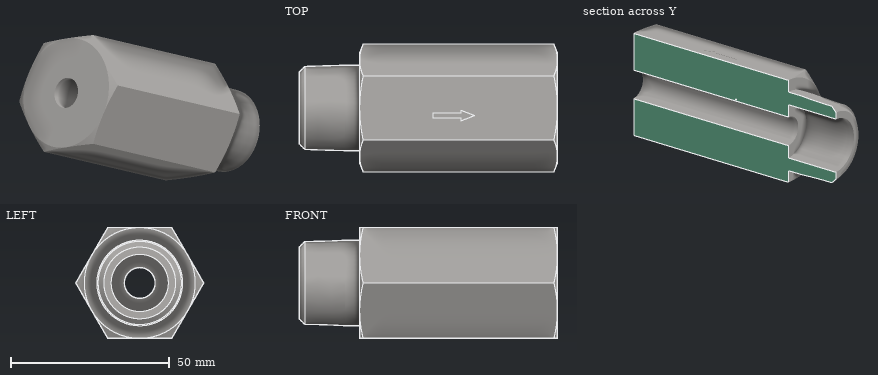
import cadquery as cq
import math

total_length = 81.28
across_flats = 34.925
shank_length = 19.05
across_corners = across_flats / math.cos(math.pi / 6)

collar_diameter = 27.0
collar_length = 4.6
taper_ratio = 1 / 16
tip_diameter = 22.6
tip_chamfer_length = 1.8

corner_chamfer_length = 1.1
chamfer_circle_diameter = across_flats

port_diameter = 18.0
port_depth = shank_length
bore_diameter = 9.6

arrow_tail_x = 42.1
arrow_length = 13.1
arrow_head_length = 4.2
arrow_head_width = 3.3
arrow_shaft_width = 1.6
arrow_center_y = -2.4
arrow_depth = 0.1


def revolve_about_x(profile):
    """Solid of revolution about X from (x, radius) points."""
    return cq.Workplane("XY").polyline(profile).close().revolve(360, (0, 0, 0), (1, 0, 0))


def cylinder_along_x(diameter, length):
    return cq.Workplane("YZ").circle(diameter / 2).extrude(length)


def make_hex_body():
    hexagon = (
        cq.Workplane("YZ", origin=(shank_length, 0, 0))
        .polygon(6, across_corners)
        .extrude(total_length - shank_length)
    )
    end_radius = chamfer_circle_diameter / 2
    corner_radius = across_corners / 2
    chamfer_envelope = revolve_about_x([
        (shank_length, 0),
        (shank_length, end_radius),
        (shank_length + corner_chamfer_length, corner_radius),
        (total_length - corner_chamfer_length, corner_radius),
        (total_length, end_radius),
        (total_length, 0),
    ])
    return hexagon.intersect(chamfer_envelope)


def make_male_end():
    taper_end_x = shank_length - collar_length
    taper_length = taper_end_x - tip_chamfer_length
    taper_small_diameter = collar_diameter - taper_ratio * taper_length
    return revolve_about_x([
        (0, 0),
        (0, tip_diameter / 2),
        (tip_chamfer_length, taper_small_diameter / 2),
        (taper_end_x, collar_diameter / 2),
        (shank_length, collar_diameter / 2),
        (shank_length, 0),
    ])


def make_flow_arrow():
    arrow_tip_x = arrow_tail_x + arrow_length
    head_base_x = arrow_tip_x - arrow_head_length
    half_shaft = arrow_shaft_width / 2
    half_head = arrow_head_width / 2
    return (
        cq.Workplane("XY", origin=(0, arrow_center_y, across_flats / 2))
        .polyline([
            (arrow_tail_x, half_shaft),
            (head_base_x, half_shaft),
            (head_base_x, half_head),
            (arrow_tip_x, 0),
            (head_base_x, -half_head),
            (head_base_x, -half_shaft),
            (arrow_tail_x, -half_shaft),
        ])
        .close()
        .extrude(-arrow_depth)
    )


result = (
    make_hex_body()
    .union(make_male_end())
    .cut(cylinder_along_x(port_diameter, port_depth))
    .cut(cylinder_along_x(bore_diameter, total_length))
    .cut(make_flow_arrow())
)